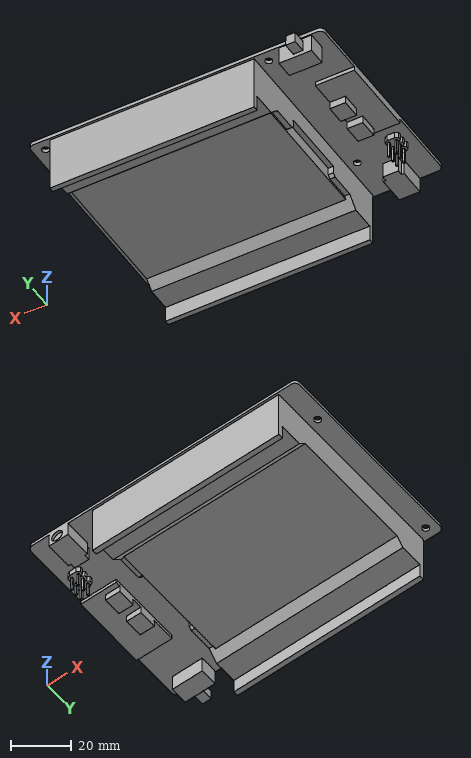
import cadquery as cq


plate_length = 113.2
plate_depth = 79.2
plate_thickness = 1.6
plate_corner_radius = 2.0
hole_diameter = 2.6
hole_left_x = 23.1
hole_front_y = 17.1
hole_pitch_x = 85.8
hole_pitch_y = 57.9

holder_left_x = 26.7
holder_length = 78.6
holder_side_gap = 0.8
holder_height = 21.6
holder_wall = 2.0
holder_floor_drop = 12.2
end_wall_drop = 15.4
end_wall_thickness = 2.0
ramp_outer = 27.7
ramp_width = 4.0
ledge_drop = 11.3
notch_half_width = 13.0
notch_chamfer = 1.1
notch_drop = 7.3

strip_front_y = 28.3
strip_width = 30.0
strip_thickness = 1.6
strip_length = 15.0
socket_front_ys = (30.3, 41.6)
socket_width = 7.2
socket_height = 2.9
socket_left_x = 9.0
socket_length = 6.0

row_pitch = 2.54
column_pitch = 2.8
pin_width = 0.7
pin_drop = 8.6
header_left_x = 3.65
header_front_y = 16.15
header_rows = 3
header_columns = 2
header_length = 5.3
header_height = 2.4
header_chamfer_x = 1.2
header_chamfer_y = 0.7

jack_left_x = 9.0
jack_length = 8.0
jack_body_depth = 10.5
jack_height = 6.0
jack_back_depth = 2.0
jack_back_inset = 1.0
jack_recess_diameter = 4.5
jack_recess_x = 12.4
jack_recess_drop = 3.0
jack_recess_depth = 1.0

switch_left_x = 4.4
switch_length = 12.6
switch_rear_gap = 0.4
switch_depth = 6.9
switch_height = 6.9
tab_left_x = 7.7
tab_width = 3.7
tab_overhang = 4.7
tab_top_drop = 1.2
tab_height = 4.2


def hanging_box(x, y, length, depth, height, top_drop=0.0):
    """Box with its front-left corner at (x, y), hanging down from top_drop below the plate."""
    bottom = -top_drop - height
    return cq.Workplane("XY").box(length, depth, height, centered=False).translate((x, y, bottom))


def make_plate():
    plate = cq.Workplane("XY").box(plate_length, plate_depth, plate_thickness, centered=False)
    plate = plate.edges("|Z").fillet(plate_corner_radius)
    hole_centres = [
        (hole_left_x + i * hole_pitch_x, hole_front_y + j * hole_pitch_y)
        for i in range(2)
        for j in range(2)
    ]
    holes = cq.Workplane("XY").pushPoints(hole_centres).circle(hole_diameter / 2).extrude(plate_thickness)
    return plate.cut(holes)


def extrude_half_profile(points, start_x, length):
    """Extrude along X a profile mirrored about the middle of the plate depth.

    Points are (distance from the middle, height), listed from the outside to the middle.
    """
    middle = plate_depth / 2
    front = [(middle - offset, z) for offset, z in points]
    rear = [(middle + offset, z) for offset, z in reversed(points)]
    return cq.Workplane("YZ", origin=(start_x, 0, 0)).polyline(front + rear).close().extrude(length)


def make_holder():
    half_width = plate_depth / 2 - holder_side_gap
    wall_inner = half_width - holder_wall
    ramp_inner = ramp_outer - ramp_width
    ramp_slope = (end_wall_drop - ledge_drop) / ramp_width
    floor_edge = ramp_outer - (end_wall_drop - holder_floor_drop) / ramp_slope
    shoulder = [
        (half_width, 0),
        (half_width, -holder_height),
        (wall_inner, -holder_height),
        (wall_inner, -end_wall_drop),
        (ramp_outer, -end_wall_drop),
    ]
    body_profile = shoulder + [(floor_edge, -holder_floor_drop)]
    end_wall_profile = shoulder + [
        (ramp_inner, -ledge_drop),
        (notch_half_width + notch_chamfer, -ledge_drop),
        (notch_half_width, -ledge_drop + notch_chamfer),
        (notch_half_width, -notch_drop),
    ]
    end_wall = extrude_half_profile(end_wall_profile, holder_left_x, end_wall_thickness)
    body_length = holder_length - end_wall_thickness
    body = extrude_half_profile(body_profile, holder_left_x + end_wall_thickness, body_length)
    return end_wall.union(body)


def make_strip():
    strip = hanging_box(0, strip_front_y, strip_length, strip_width, strip_thickness)
    for y in socket_front_ys:
        strip = strip.union(
            hanging_box(socket_left_x, y, socket_length, socket_width, socket_height, strip_thickness)
        )
    return strip


def make_header_block():
    """One row's block, centred on the Z axis, with its four upright corners chamfered."""
    half_length = header_length / 2
    half_depth = row_pitch / 2
    flat_x = half_length - header_chamfer_x
    flat_y = half_depth - header_chamfer_y
    outline = [
        (-half_length, -flat_y),
        (-flat_x, -half_depth),
        (flat_x, -half_depth),
        (half_length, -flat_y),
        (half_length, flat_y),
        (flat_x, half_depth),
        (-flat_x, half_depth),
        (-half_length, flat_y),
    ]
    return cq.Workplane("XY").polyline(outline).close().extrude(-header_height)


def make_header():
    row = make_header_block()
    first_pin_x = -(header_columns - 1) * column_pitch / 2
    for column in range(header_columns):
        pin_left_x = first_pin_x + column * column_pitch - pin_width / 2
        row = row.union(hanging_box(pin_left_x, -pin_width / 2, pin_width, pin_width, pin_drop))
    middle_x = header_left_x + header_length / 2
    header = cq.Workplane("XY")
    for index in range(header_rows):
        row_y = header_front_y + (index + 0.5) * row_pitch
        header = header.union(row.translate((middle_x, row_y, 0)))
    return header


def make_jack():
    body = hanging_box(jack_left_x, 0, jack_length, jack_body_depth, jack_height)
    back_length = jack_length - 2 * jack_back_inset
    back = hanging_box(
        jack_left_x + jack_back_inset, jack_body_depth, back_length, jack_back_depth, jack_height
    )
    recess = (
        cq.Workplane("XZ", origin=(jack_recess_x, 0, -jack_recess_drop))
        .circle(jack_recess_diameter / 2)
        .extrude(-jack_recess_depth)
    )
    return body.union(back).cut(recess)


def make_switch():
    rear_y = plate_depth - switch_rear_gap
    body = hanging_box(switch_left_x, rear_y - switch_depth, switch_length, switch_depth, switch_height)
    tab_length = switch_rear_gap + tab_overhang
    tab = hanging_box(tab_left_x, rear_y, tab_width, tab_length, tab_height, tab_top_drop)
    return body.union(tab)


result = make_plate()
for component in (make_holder(), make_strip(), make_header(), make_jack(), make_switch()):
    result = result.union(component)